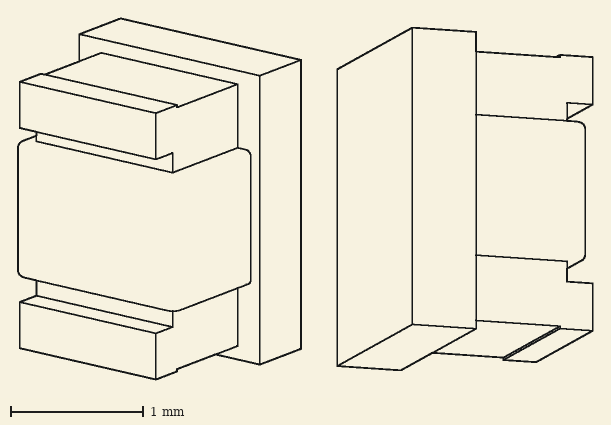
import cadquery as cq

flange_width = 1.73
flange_height = 2.29
flange_thickness = 0.51

total_depth = 1.52
core_width = 1.305
core_height = 2.075
core_depth = 1.315

pad_height = 0.366
pad_overhang = 0.018
pad_depth = 0.263

coating_width = 1.56
coating_height = 1.067
coating_depth = 1.445
coating_corner_radius = 0.1
coating_rim_radius = 0.05

back = total_depth / 2
flange_front = back - flange_thickness


def block(width, height, y_front, y_back, z_center=0):
    """Box centred on X, spanning y_front to y_back."""
    depth = y_back - y_front
    center = (0, (y_front + y_back) / 2, z_center)
    return cq.Workplane("XY").box(width, depth, height).translate(center)


def make_coating():
    body = block(coating_width, coating_height, back - coating_depth, flange_front)
    body = body.faces("<Y").edges("|Z").fillet(coating_corner_radius)
    rims = body.faces("<Z or >Z").edges("not(>Y)")
    return rims.fillet(coating_rim_radius)


flange = block(flange_width, flange_height, flange_front, back)
core = block(core_width, core_height, back - core_depth, flange_front)
result = flange.union(core).union(make_coating())

pad_center_z = core_height / 2 + pad_overhang - pad_height / 2
pad_front = back - total_depth
for side in (-1, 1):
    pad = block(core_width, pad_height, pad_front, pad_front + pad_depth, side * pad_center_z)
    result = result.union(pad)